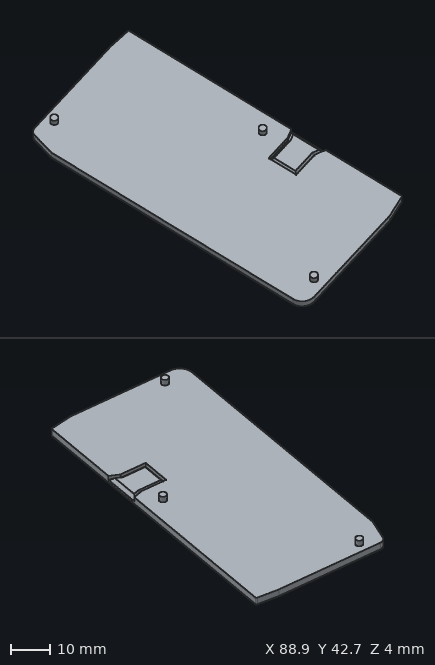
import cadquery as cq
import math

length = 88.9
width = 42.65
plate_thickness = 2.2
total_height = 4.0
rear_left_inset = 0.6
rear_left_drop = 6.75
rear_right_inset = 1.2
rear_right_drop = 7.0
rear_corner_radius = 0.3
front_left_run = 8.15
front_left_rise = 2.2
front_left_radius = 2.0
front_right_radius = 4.0

pin_diameter = 2.1
pin_positions = [(2.85, 8.22), (85.5, 8.22), (47.2, 37.45)]

pocket_left = 53.35
pocket_right = 62.07
pocket_length = 10.8
pocket_depth = 1.3
flare_length = 2.85
left_flare = 0.9
right_flare = 1.35
pad_height = 1.1
pad_wall_run = 0.95


def round_corner(plate, corner, radius):
    middle_of_edge = (*corner, plate_thickness / 2)
    return plate.edges(cq.selectors.NearestToPointSelector(middle_of_edge)).fillet(radius)


def make_plate():
    outline = [
        (front_left_run, 0),
        (length, 0),
        (length, width - rear_right_drop),
        (length - rear_right_inset, width),
        (rear_left_inset, width),
        (0, width - rear_left_drop),
        (0, front_left_rise),
    ]
    plate = cq.Workplane("XY").polyline(outline).close().extrude(plate_thickness)
    plate = round_corner(plate, (rear_left_inset, width), rear_corner_radius)
    plate = round_corner(plate, (length - rear_right_inset, width), rear_corner_radius)
    plate = round_corner(plate, (length, 0), front_right_radius)
    return round_corner(plate, (0, front_left_rise), front_left_radius)


def pocket_outline():
    pocket_front = width - pocket_length
    flare_start = width - flare_length
    points = [
        (pocket_left, pocket_front),
        (pocket_right, pocket_front),
        (pocket_right, flare_start),
        (pocket_right + right_flare, width),
        (pocket_left - left_flare, width),
        (pocket_left, flare_start),
    ]
    pocket_floor = plate_thickness - pocket_depth
    return cq.Workplane("XY").workplane(offset=pocket_floor).polyline(points).close()


def make_pocket():
    return pocket_outline().extrude(pocket_depth)


def make_pad():
    taper_from_vertical = math.degrees(math.atan2(pad_wall_run, pad_height))
    return pocket_outline().extrude(pad_height, taper=taper_from_vertical)


def make_pin(position):
    return cq.Workplane("XY").center(*position).circle(pin_diameter / 2).extrude(total_height)


result = make_plate().cut(make_pocket()).union(make_pad())
for position in pin_positions:
    result = result.union(make_pin(position))